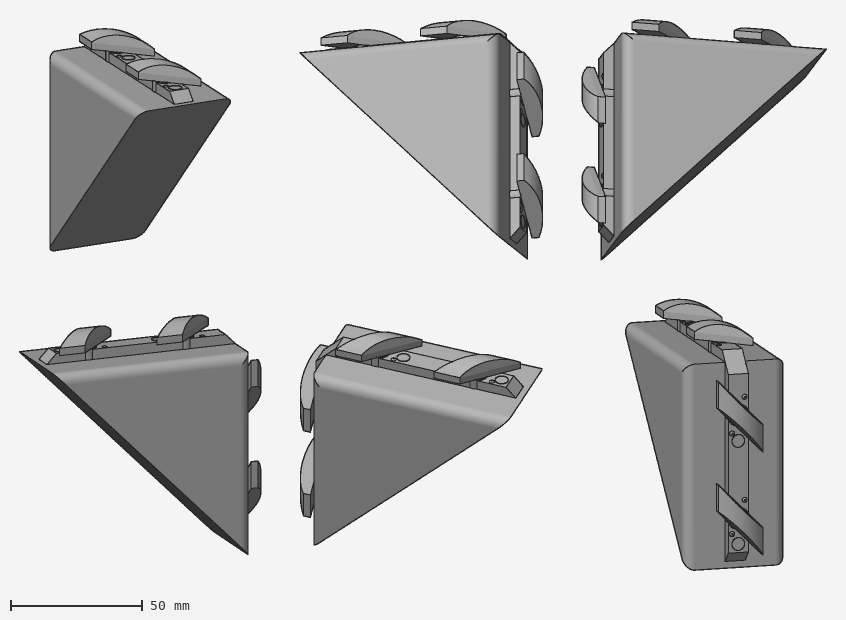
import cadquery as cq
import math

leg_length = 80.0
block_width = 40.0
edge_radius = 4.0

rail_width = 8.0
rail_height = 4.0
rail_end_setback = 1.9
rail_end = leg_length - rail_end_setback * math.sqrt(2)

head_positions = (20.0, 60.0)
head_gap = 0.45
head_base = rail_height + head_gap
head_half_span = 8.9
head_bar_width = 7.5
head_angle = 45.0
shoulder_height = 7.05
crown_height = 11.1
dome_edge_lift = 0.25
crown_side_taper = 10.0

stem_diameter = 8.5
stem_depth = 10.0

cone_base_diameter = 2.0
cone_tip_diameter = 0.5
cone_height = 0.4
cone_offset_along = 7.0
last_side_cone_offset = 6.0
cone_offset_across = 2.5
recess_diameter = 5.0
recess_depth = 0.2
recess_offset = 10.0


def keep_on_top_leg(shape):
    return shape


def turn_to_side_leg(shape):
    """Half turn about the corner's bisector, which carries the top leg onto the side leg."""
    return shape.rotate((0, 0, 0), (1, 0, -1), 180)


leg_placements = (keep_on_top_leg, turn_to_side_leg)


def make_block():
    outline = [(0, 0), (leg_length, 0), (0, -leg_length)]
    block = cq.Workplane("XZ").polyline(outline).close().extrude(block_width / 2, both=True)
    for side in ("<Y", ">Y"):
        block = block.faces(side).edges("|X or |Z").fillet(edge_radius)
    return block


def make_rail():
    outline = [
        (0, 0),
        (rail_height, rail_height),
        (rail_end - rail_height, rail_height),
        (rail_end, 0),
        (0, -rail_end),
        (-rail_height, rail_height - rail_end),
        (-rail_height, -rail_height),
    ]
    return cq.Workplane("XZ").polyline(outline).close().extrude(rail_width / 2, both=True)


def make_stem(position):
    """Stem cylinder, which is also the shape of its socket."""
    start = cq.Workplane("XY", origin=(position, 0, -stem_depth))
    return start.circle(stem_diameter / 2).extrude(stem_depth + head_base)


def make_recess(position):
    start = cq.Workplane("XY", origin=(position + recess_offset, 0, rail_height))
    return start.circle(recess_diameter / 2).extrude(-recess_depth)


def make_detent_cone(along, across):
    base = cq.Workplane("XY", origin=(along, across, rail_height)).circle(cone_base_diameter / 2)
    return base.workplane(offset=cone_height).circle(cone_tip_diameter / 2).loft()


def make_body():
    body = make_block().union(make_rail())
    for place in leg_placements:
        for position in head_positions:
            body = body.cut(place(make_stem(position)))
            body = body.cut(place(make_recess(position)))
            is_last_side_head = place is turn_to_side_leg and position == head_positions[-1]
            outer_offset = last_side_cone_offset if is_last_side_head else cone_offset_along
            inner_cone = make_detent_cone(position - cone_offset_along, cone_offset_across)
            outer_cone = make_detent_cone(position + outer_offset, -cone_offset_across)
            body = body.union(place(inner_cone)).union(place(outer_cone))
    return body


def make_head(position):
    """Slanted bar with a tapered, domed crown, on a round stem."""
    span = head_half_span
    slant = math.radians(head_angle)
    reach = span / math.tan(slant)
    half_length = head_bar_width / math.sin(slant) / 2
    plan = [
        (-reach - half_length, -span),
        (-reach + half_length, -span),
        (reach + half_length, span),
        (reach - half_length, span),
    ]

    bar = cq.Workplane("XY", origin=(0, 0, head_base)).polyline(plan).close()
    bar = bar.extrude(shoulder_height - head_base)

    crown = cq.Workplane("XY", origin=(0, 0, shoulder_height)).polyline(plan).close()
    crown = crown.extrude(crown_height - shoulder_height, taper=crown_side_taper)

    dome_edge = shoulder_height + dome_edge_lift
    dome = (
        cq.Workplane("YZ")
        .moveTo(-span, shoulder_height)
        .lineTo(-span, dome_edge)
        .threePointArc((0, crown_height), (span, dome_edge))
        .lineTo(span, shoulder_height)
        .close()
        .extrude(reach + half_length, both=True)
    )

    head = bar.union(crown.intersect(dome)).translate((position, 0, 0))
    return head.union(make_stem(position))


body = make_body()
heads = [place(make_head(position)) for place in leg_placements for position in head_positions]

result = cq.Compound.makeCompound([body.val(), *[head.val() for head in heads]])